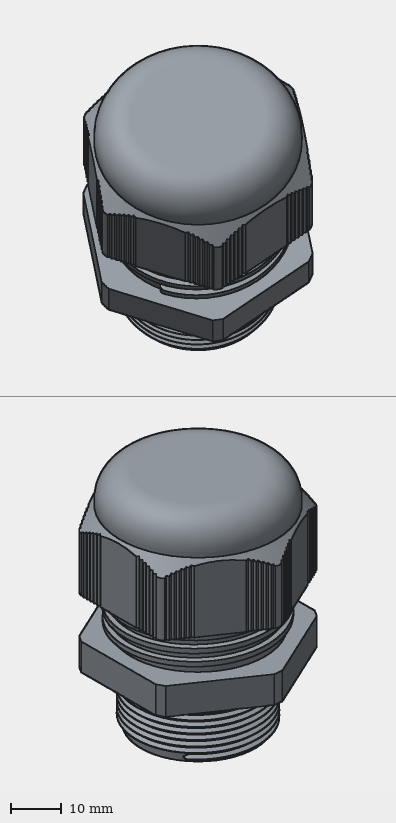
import cadquery as cq
import math

total_height = 58.1
across_flats = 42.0

gasket_bottom = 14.8
flange_bottom = 15.0
flange_top = 22.05
nut_bottom = 32.45

shank_diameter = 29.9
gasket_diameter = 39.95
neck_diameter = 35.0
dome_diameter = 40.85
dome_flat_diameter = 27.05
collar_height = 1.15

flange_corner_chamfer = 1.2
nut_corner_radius = 3.0

grip_flat_width = 10.45
grooved_width = 6.0
groove_wall_angle = 30.0
grooves_per_side = 6

shank_thread_diameter = 32.0
shank_thread_rise = 10.85
shank_thread_root_width = 1.3
shank_thread_crest_width = 0.1
shank_thread_turns = 7.25
shank_thread_end_angle = 161.5
shank_thread_end_height = 11.9

neck_thread_diameter = 37.5
neck_thread_rise = 10.5
neck_thread_root_width = 1.5
neck_thread_crest_width = 1.15
neck_thread_turns = 3.5
neck_thread_start_angle = -90.0
neck_thread_start_height = 23.25

root_overlap = 0.1

groove_pitch = grooved_width / grooves_per_side
hex_diameter = across_flats / math.cos(math.radians(30))
dome_radius = (dome_diameter - dome_flat_diameter) / 2
dome_bottom = total_height - dome_radius


def cylinder(diameter, bottom, top):
    return cq.Workplane("XY").workplane(offset=bottom).circle(diameter / 2).extrude(top - bottom)


def hexagon(bottom, top):
    """Hexagonal prism with two flats facing -Y and +Y."""
    return cq.Workplane("XY").workplane(offset=bottom).polygon(6, hex_diameter).extrude(top - bottom)


def turn_about_z(body, angle):
    return body.rotate((0, 0, 0), (0, 0, 1), angle)


def turn_and_lift(body, angle, height):
    return turn_about_z(body, angle).translate((0, 0, height))


def thread(root_diameter, crest_diameter, root_width, crest_width, rise, turns, round_end):
    """Right-hand thread rising from a start at angle 0 and height 0, with a rounded run-out."""
    root_radius = root_diameter / 2 - root_overlap
    crest_radius = crest_diameter / 2
    profile = [
        (root_radius, -root_width / 2),
        (crest_radius, -crest_width / 2),
        (crest_radius, crest_width / 2),
        (root_radius, root_width / 2),
    ]

    def section():
        return cq.Workplane("XZ").polyline(profile).close()

    helix = cq.Workplane(obj=cq.Wire.makeHelix(rise / turns, rise, root_radius))
    ridge = section().sweep(helix, isFrenet=True)

    axis_bottom = (root_radius, -root_width / 2)
    axis_top = (root_radius, root_width / 2)
    start_cap = section().revolve(90, axis_top, axis_bottom)
    ridge = ridge.union(start_cap)
    if round_end:
        end_cap = section().revolve(90, axis_bottom, axis_top)
        ridge = ridge.union(turn_and_lift(end_cap, 360 * turns, rise))
    return ridge


def shank_thread():
    ridge = thread(
        shank_diameter,
        shank_thread_diameter,
        shank_thread_root_width,
        shank_thread_crest_width,
        shank_thread_rise,
        shank_thread_turns,
        round_end=True,
    )
    start_angle = shank_thread_end_angle - 360 * shank_thread_turns
    start_height = shank_thread_end_height - shank_thread_rise
    return turn_and_lift(ridge, start_angle, start_height)


def neck_thread():
    ridge = thread(
        neck_diameter,
        neck_thread_diameter,
        neck_thread_root_width,
        neck_thread_crest_width,
        neck_thread_rise,
        neck_thread_turns,
        round_end=False,
    )
    return turn_and_lift(ridge, neck_thread_start_angle, neck_thread_start_height)


def nut_envelope():
    """Turned outside of the nut: domed top, short collar and a 45 degree corner chamfer."""
    collar_radius = dome_diameter / 2
    chamfer_size = hex_diameter / 2 - collar_radius
    collar_bottom = dome_bottom - collar_height
    bend = dome_radius * math.sin(math.radians(45))
    arc_middle = (dome_flat_diameter / 2 + bend, dome_bottom + bend)
    return (
        cq.Workplane("XZ")
        .moveTo(0, nut_bottom)
        .lineTo(hex_diameter / 2, nut_bottom)
        .lineTo(hex_diameter / 2, collar_bottom - chamfer_size)
        .lineTo(collar_radius, collar_bottom)
        .lineTo(collar_radius, dome_bottom)
        .threePointArc(arc_middle, (dome_flat_diameter / 2, total_height))
        .lineTo(0, total_height)
        .close()
        .revolve(360, (0, 0), (0, 1))
    )


def grip_grooves():
    """V grooves of the flat that faces -Y, on both sides of its plain middle."""
    depth = groove_pitch / 2 * math.tan(math.radians(groove_wall_angle))
    flat_y = -across_flats / 2
    grooves = cq.Workplane("XY").workplane(offset=nut_bottom)
    for side in (-1, 1):
        for index in range(grooves_per_side):
            inner = grip_flat_width / 2 + index * groove_pitch
            middle = inner + groove_pitch / 2
            outer = inner + groove_pitch
            grooves = grooves.polyline(
                [(side * inner, flat_y), (side * middle, flat_y + depth), (side * outer, flat_y)]
            ).close()
    return grooves.extrude(total_height - nut_bottom)


def nut():
    body = hexagon(nut_bottom, total_height).edges("|Z").fillet(nut_corner_radius)
    grooves = grip_grooves()
    for flat in range(6):
        body = body.cut(turn_about_z(grooves, 60 * flat))
    return body.intersect(nut_envelope())


flange = hexagon(flange_bottom, flange_top).edges("|Z").chamfer(flange_corner_chamfer)

neck = cylinder(neck_diameter, flange_top, dome_bottom).union(neck_thread())

result = (
    cylinder(shank_diameter, 0, flange_bottom)
    .union(shank_thread())
    .union(cylinder(gasket_diameter, gasket_bottom, flange_bottom))
    .union(flange)
    .union(neck)
    .union(nut())
)